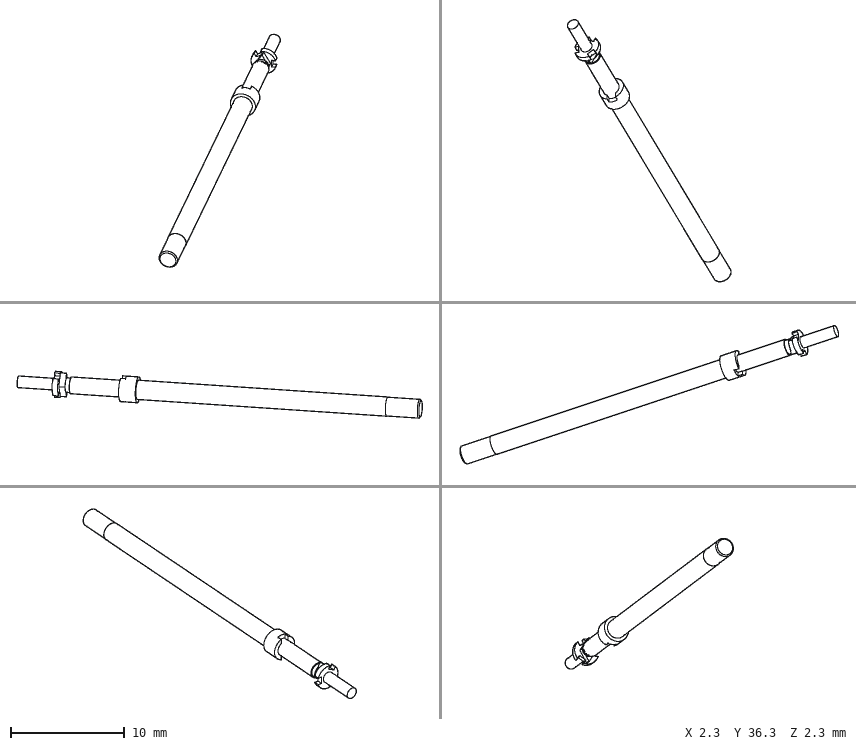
import cadquery as cq
import math


total_length = 36.3
pin_length = 3.3
flange_thickness = 0.5
key_length = 0.55
neck_length = 0.4
shaft_length = 4.55
collar_length = 1.5
cap_length = 3.0
cap_chamfer = 0.12

pin_diameter = 1.05
flange_diameter = 2.3
neck_diameter = 1.3
shaft_diameter = 1.5
collar_diameter = 2.3
barrel_diameter = 1.72
cap_diameter = 1.68

slot_count = 3
slot_width = 0.67
slot_floor_radius = 0.75

key_width = 1.3
key_tip_angle = 60.0
key_tip_diameter = 2.18

collar_slot_width = 0.77
collar_slot_depth = 0.45

barrel_length = (
    total_length - pin_length - flange_thickness - key_length
    - neck_length - shaft_length - collar_length - cap_length
)
tail_end = -barrel_length - cap_length
barrel_start = -barrel_length
collar_start = 0.0
shaft_start = collar_start + collar_length
neck_start = shaft_start + shaft_length
key_start = neck_start + neck_length
flange_start = key_start + key_length
pin_start = flange_start + flange_thickness


def section(y):
    """Workplane across the probe axis at y: local x is X, local y is Z, extruding toward -Y."""
    return cq.Workplane("XZ", origin=(0, y, 0))


def cylinder(diameter, start, length):
    """Round length of the probe from start toward +Y."""
    return section(start).circle(diameter / 2).extrude(-length)


def make_cap():
    """Tail cap with a chamfered end."""
    cap = cylinder(cap_diameter, tail_end, cap_length)
    return cap.faces("<Y").chamfer(cap_chamfer)


def make_collar():
    """Collar with a slot across the top and bottom of its +Y face, down to the shaft."""
    collar = cylinder(collar_diameter, collar_start, collar_length)
    slot = (
        section(shaft_start - collar_slot_depth)
        .rect(collar_slot_width, collar_diameter)
        .extrude(-collar_slot_depth)
    )
    return collar.cut(slot)


def make_key():
    """Diamond-section key with its two long points rounded off."""
    half_height = key_width / 2 / math.tan(math.radians(key_tip_angle / 2))
    diamond = (
        section(key_start)
        .polyline([(key_width / 2, 0), (0, half_height), (-key_width / 2, 0), (0, -half_height)])
        .close()
        .extrude(-key_length)
    )
    return diamond.intersect(cylinder(key_tip_diameter, key_start, key_length))


def make_flange():
    """Round flange with flat-bottomed slots in its rim, the first on +X."""
    flange = cylinder(flange_diameter, flange_start, flange_thickness)
    slot = (
        section(flange_start)
        .center(slot_floor_radius + flange_diameter / 2, 0)
        .rect(flange_diameter, slot_width)
        .extrude(-flange_thickness)
    )
    for i in range(slot_count):
        flange = flange.cut(slot.rotate((0, 0, 0), (0, 1, 0), i * 360 / slot_count))
    return flange


result = (
    cylinder(barrel_diameter, barrel_start, barrel_length)
    .union(make_cap())
    .union(make_collar())
    .union(cylinder(shaft_diameter, collar_start, collar_length + shaft_length))
    .union(cylinder(neck_diameter, neck_start, neck_length))
    .union(make_key())
    .union(make_flange())
    .union(cylinder(pin_diameter, pin_start, pin_length))
)